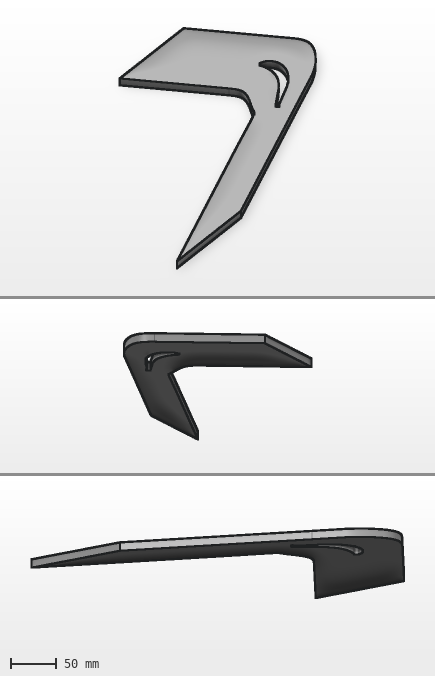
import cadquery as cq
import math

width = 249.3
thickness = 10.0
blade_depth = 113.0

left_end = (0, 214.0)
rise_angle = math.radians(30)
bend_start_x = 105.0
bend_start = (bend_start_x, left_end[1] + bend_start_x * math.tan(rise_angle))
bend_crown = (119.7, 392.5 - blade_depth)
bend_shoulder = (145.0, 264.0)
bend_end = (174.5, 201.0)
tip = (width, 0)

rise_direction = (math.cos(rise_angle), math.sin(rise_angle))
fall_direction = (tip[0] - bend_end[0], tip[1] - bend_end[1])

window_top_edge = [
    (104.5, 332.0),
    (110.7, 340.7),
    (120.0, 343.5),
    (132.3, 340.0),
    (145.0, 329.0),
    (154.3, 312.5),
    (165.3, 286.5),
]
window_tail_middle = (165.5, 282.0)
window_bottom_edge = [
    (163.5, 282.2),
    (147.5, 308.0),
    (133.5, 323.0),
    (120.0, 328.0),
    (108.0, 327.5),
]
window_nose_middle = (105.0, 328.0)


def raised(point):
    """Move a lower-edge point to the matching place on the upper edge."""
    return (point[0], point[1] + blade_depth)


def reversed_direction(direction):
    return (-direction[0], -direction[1])


def make_plate():
    bend = [bend_start, bend_crown, bend_shoulder, bend_end]
    upper_bend = [raised(point) for point in reversed(bend)]
    return (
        cq.Workplane("XY")
        .moveTo(*left_end)
        .lineTo(*bend_start)
        .spline(bend[1:], tangents=[rise_direction, fall_direction], includeCurrent=True)
        .lineTo(*tip)
        .lineTo(*raised(tip))
        .lineTo(*raised(bend_end))
        .spline(
            upper_bend[1:],
            tangents=[reversed_direction(fall_direction), reversed_direction(rise_direction)],
            includeCurrent=True,
        )
        .lineTo(*raised(left_end))
        .close()
        .extrude(thickness)
    )


def make_window():
    return (
        cq.Workplane("XY")
        .moveTo(*window_top_edge[0])
        .spline(window_top_edge[1:], includeCurrent=True)
        .threePointArc(window_tail_middle, window_bottom_edge[0])
        .spline(window_bottom_edge[1:], includeCurrent=True)
        .threePointArc(window_nose_middle, window_top_edge[0])
        .close()
        .extrude(thickness)
    )


result = make_plate().cut(make_window())